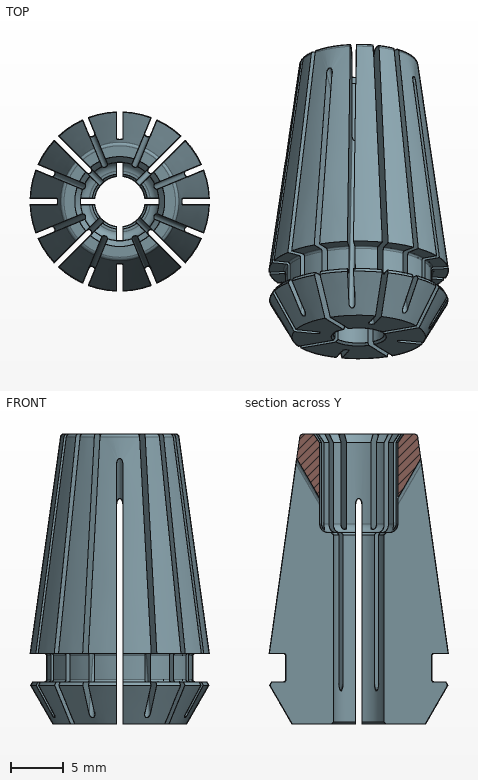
import cadquery as cq
import math

height = 27.5
big_radius = 8.5

head_height = 4.02
head_bottom_radius = 6.32
head_slope = 30.0
head_rim_chamfer = 0.38

neck_radius = 6.93
neck_top = 6.68
neck_fillet = 0.2

cone_slope = 8.0
cone_top_fillet = 0.33

bore_radius = 2.4
bore_chamfer = 0.22
counterbore_radius = 3.7
counterbore_floor = 18.15
counterbore_fillet = 0.82
mouth_chamfer = 0.55
mouth_chamfer_depth = 0.8

slot_width = 0.58
lower_slot_count = 4
lower_slot_end_radius = 5.9
lower_slot_end_height = 25.2
lower_slot_slope = 30.0
long_slot_count = 4
long_slot_end_radius = 3.88
long_slot_slope = 25.0
short_slot_count = 8
short_slot_end_radius = 6.68
short_slot_end_height = 0.6
short_slot_slope = 10.0
slot_reach = 11.0
below_part = -1.38
above_slots = 2 * height


def tangent(degrees):
    return math.tan(math.radians(degrees))


def circle_edge(body, radius, level):
    """Select the circular edge that has this radius and lies at this height."""

    def is_wanted(edge):
        return abs(edge.radius() - radius) < 0.003 and abs(edge.Center().z - level) < 0.003

    return body.edges("%CIRCLE").filter(is_wanted)


def make_body():
    head_top_radius = head_bottom_radius + head_height * tangent(head_slope)
    cone_top_radius = big_radius - (height - neck_top) * tangent(cone_slope)
    outline = [
        (bore_radius + bore_chamfer, 0),
        (head_bottom_radius, 0),
        (head_top_radius, head_height),
        (neck_radius, head_height),
        (neck_radius, neck_top),
        (big_radius, neck_top),
        (cone_top_radius, height),
        (counterbore_radius + mouth_chamfer, height),
        (counterbore_radius, height - mouth_chamfer_depth),
        (counterbore_radius, counterbore_floor),
        (bore_radius + bore_chamfer, counterbore_floor),
        (bore_radius, counterbore_floor - bore_chamfer),
        (bore_radius, bore_chamfer),
    ]
    body = cq.Workplane("XZ").polyline(outline).close().revolve(360, (0, 0, 0), (0, 1, 0))
    body = circle_edge(body, head_top_radius, head_height).chamfer(head_rim_chamfer)
    body = circle_edge(body, neck_radius, head_height).fillet(neck_fillet)
    body = circle_edge(body, neck_radius, neck_top).fillet(neck_fillet)
    body = circle_edge(body, cone_top_radius, height).fillet(cone_top_fillet)
    return circle_edge(body, counterbore_radius, counterbore_floor).fillet(counterbore_fillet)


def make_slot(end_radius, end_height, rise, open_level):
    """Slot along +X, from its sloping rounded end to open_level.

    The deepest line of the end passes through (end_radius, end_height)
    and climbs by rise for each unit outwards.
    """
    half_width = slot_width / 2
    slope_length = math.hypot(1, rise)
    side = 1 if open_level > end_height else -1
    inner_level = end_height - end_radius * rise + side * half_width * slope_length
    outer_level = inner_level + slot_reach * rise
    outline = [
        (0, inner_level),
        (slot_reach, outer_level),
        (slot_reach, open_level),
        (0, open_level),
    ]
    slab = cq.Workplane("XZ").polyline(outline).close().extrude(half_width, both=True)
    round_end = cq.Solid.makeCylinder(
        half_width,
        slot_reach * slope_length,
        cq.Vector(0, 0, inner_level),
        cq.Vector(1, 0, rise),
    )
    return slab.union(cq.Workplane(round_end))


def cut_slots(body, slot, count, first_angle):
    for index in range(count):
        angle = first_angle + index * 360 / count
        body = body.cut(slot.rotate((0, 0, 0), (0, 0, 1), angle))
    return body


lower_slot = make_slot(
    lower_slot_end_radius, lower_slot_end_height, 1 / tangent(lower_slot_slope), below_part
)
long_slot = make_slot(long_slot_end_radius, 0, -1 / tangent(long_slot_slope), above_slots)
short_slot = make_slot(
    short_slot_end_radius, short_slot_end_height, -1 / tangent(short_slot_slope), above_slots
)

result = make_body()
result = cut_slots(result, lower_slot, lower_slot_count, 0)
result = cut_slots(result, long_slot, long_slot_count, 180 / lower_slot_count)
result = cut_slots(result, short_slot, short_slot_count, 180 / short_slot_count)